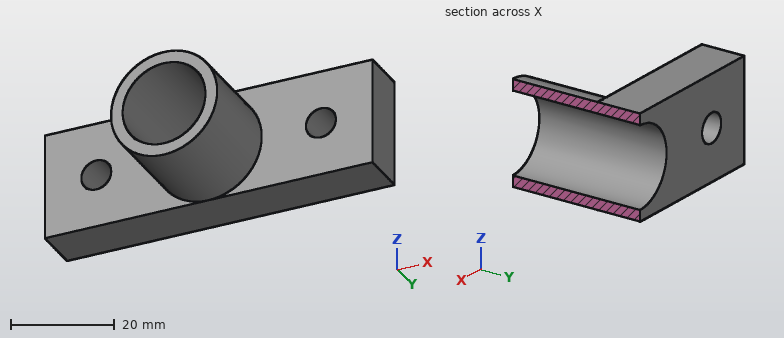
import cadquery as cq

plate_length = 70.0
plate_thickness = 10.0

tube_outer_diameter = 22.7
tube_wall = 2.5
tube_length = 20.0
bore_diameter = tube_outer_diameter - 2 * tube_wall
plate_height = tube_outer_diameter

mounting_hole_diameter = 6.4
mounting_hole_spacing = 48.0


def cylinder_along_y(diameter, length, x=0.0):
    """Cylinder from the plate's back face (Y = 0) toward -Y."""
    return cq.Workplane("XZ").center(x, 0).circle(diameter / 2).extrude(length)


def make_plate():
    return cq.Workplane("XZ").rect(plate_length, plate_height).extrude(plate_thickness)


overall_depth = plate_thickness + tube_length

result = make_plate().union(cylinder_along_y(tube_outer_diameter, overall_depth))
result = result.cut(cylinder_along_y(bore_diameter, overall_depth))

for side in (-1, 1):
    hole_x = side * mounting_hole_spacing / 2
    result = result.cut(cylinder_along_y(mounting_hole_diameter, plate_thickness, hole_x))